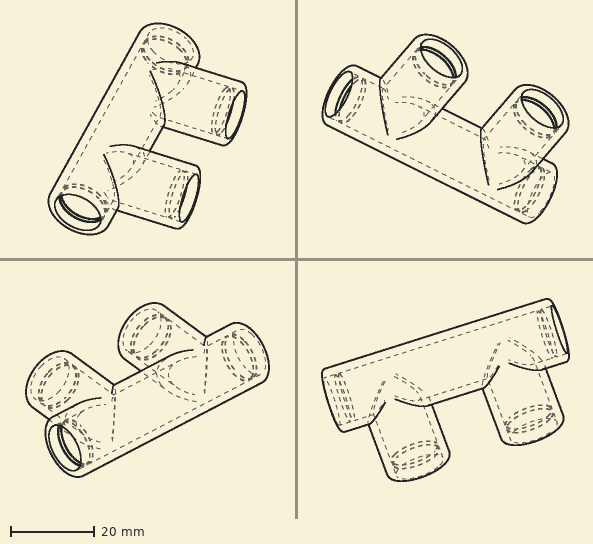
import cadquery as cq

run_length = 58.0
outer_diameter = 16.0
bore_diameter = 12.0
stop_diameter = 11.5
branch_reach = 22.95
branch_spacing = 29.0
end_fillet = 1.0
stop_depth = 2.8
stop_width = 1.0

half_run = run_length / 2
branch_positions = (-branch_spacing / 2, branch_spacing / 2)


def cylinder(start, direction, diameter, length):
    return cq.Workplane(obj=cq.Solid.makeCylinder(
        diameter / 2, length, cq.Vector(*start), cq.Vector(*direction)))


def rounded_tube(start, direction, length):
    """Solid cylinder whose outer end is rounded."""
    x, y, _ = direction
    end = ">X" if x else (">Y" if y > 0 else "<Y")
    return cylinder(start, direction, outer_diameter, length).faces(end).edges().fillet(end_fillet)


def stepped_bore(start, direction, length):
    """Bore from the part's centre line outward, narrowed at the stop ring."""
    inner_length = length - stop_depth - stop_width
    outer_start = cq.Vector(*start) + cq.Vector(*direction) * (length - stop_depth)
    inner = cylinder(start, direction, bore_diameter, inner_length)
    narrow = cylinder(start, direction, stop_diameter, length)
    socket = cylinder(outer_start.toTuple(), direction, bore_diameter, stop_depth)
    return inner.union(narrow).union(socket)


arms = [((0, 0, 0), (0, side, 0), half_run) for side in (-1, 1)]
arms += [((0, y, 0), (1, 0, 0), branch_reach) for y in branch_positions]

result = cq.Workplane()
for arm in arms:
    result = result.union(rounded_tube(*arm))
for arm in arms:
    result = result.cut(stepped_bore(*arm))